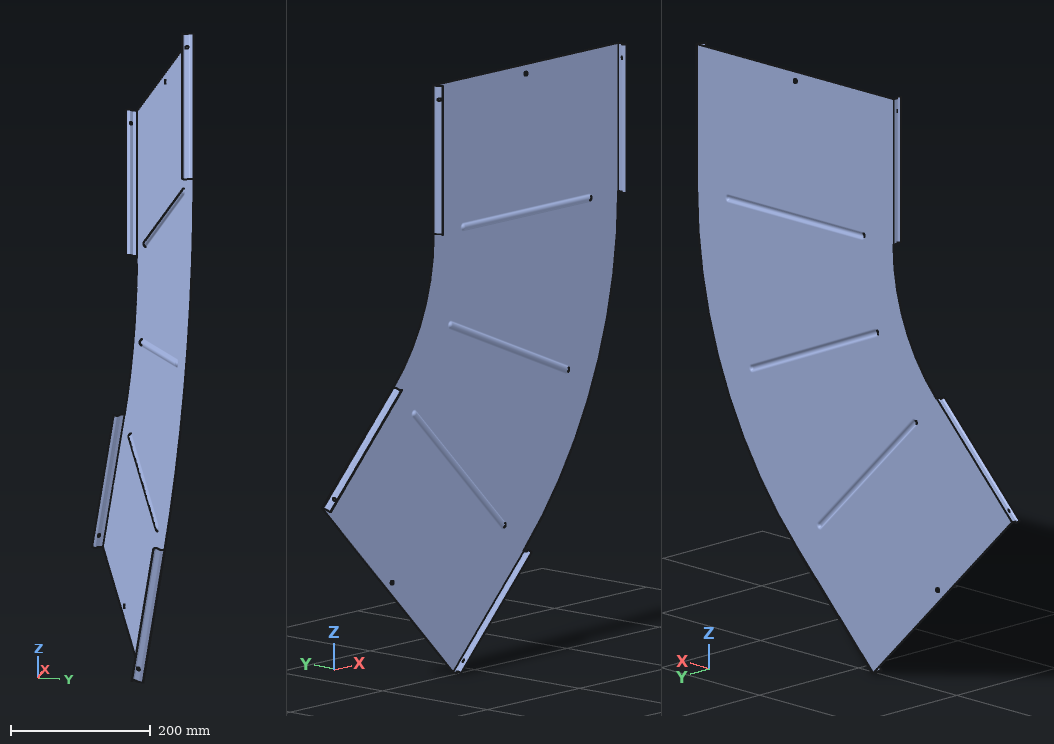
import cadquery as cq
import math

sheet = 1.2
bend_angle = 45.0
inner_radius = 300.0
outer_radius = 700.0
mid_radius = (inner_radius + outer_radius) / 2
arm_length = 217.0

flange_height = 17.4
flange_wall = 7.3
flange_fold = 5.5
flange_inner = inner_radius - sheet
flange_outer = outer_radius + sheet
fold_radius = 0.8
flange_hole_diameter = 4.0
flange_hole_end_distance = 20.0

end_hole_diameter = 6.0
end_hole_distance = 14.0

bead_length = 285.0
bead_width = 13.0
bead_depth = 3.5
bead_root_radius = 2.5
bead_slope = 2 * math.atan(2 * bead_depth / bead_width)
bead_angles = [0.0, bend_angle / 2, bend_angle]


def turn(body, angle):
    """Swing a body around the bend centre, from +X toward -Z."""
    return body.rotate((0, 0, 0), (0, 1, 0), angle)


def on_bend(radius, angle, along=0.0):
    """XZ position at a bend angle, shifted tangentially (positive toward the upper arm)."""
    a = math.radians(angle)
    x = radius * math.cos(a) + along * math.sin(a)
    z = -radius * math.sin(a) + along * math.cos(a)
    return x, z


def make_plate():
    half = bend_angle / 2
    outline = (
        cq.Workplane("XZ")
        .moveTo(inner_radius, arm_length)
        .lineTo(outer_radius, arm_length)
        .lineTo(outer_radius, 0)
        .threePointArc(on_bend(outer_radius, half), on_bend(outer_radius, bend_angle))
        .lineTo(*on_bend(outer_radius, bend_angle, -arm_length))
        .lineTo(*on_bend(inner_radius, bend_angle, -arm_length))
        .lineTo(*on_bend(inner_radius, bend_angle))
        .threePointArc(on_bend(inner_radius, half), (inner_radius, 0))
        .close()
    )
    return outline.extrude(sheet)


def round_fold(flange, corner, radius):
    """Round the lengthwise edge of a flange that runs through an XY corner."""
    edge_middle = (*corner, arm_length / 2)
    return flange.edges(cq.NearestToPointSelector(edge_middle)).fillet(radius)


def make_flange(edge, inward):
    """Flange along +Z from Z = 0; inward is +1 or -1, the X direction toward the sheet.

    An upright wall, then a 45 degree fold inward and a 45 degree fold back out.
    """
    diagonal = sheet * math.sqrt(2)
    tip_shift = sheet / math.sqrt(2)
    apex_depth = flange_wall + flange_fold
    tip_depth = flange_height - tip_shift
    tip_offset = flange_fold - (tip_depth - apex_depth)
    inner_wall = flange_wall - sheet * math.tan(math.pi / 8)
    section = [
        (0, 0),
        (0, flange_wall),
        (flange_fold, apex_depth),
        (tip_offset, tip_depth),
        (tip_offset + tip_shift, flange_height),
        (flange_fold + diagonal, apex_depth),
        (sheet, inner_wall),
        (sheet, 0),
    ]
    points = [(edge + inward * offset, -depth) for offset, depth in section]
    flange = cq.Workplane("XY").polyline(points).close().extrude(arm_length)
    bend_outer, apex_outer, apex_inner, bend_inner = points[1], points[2], points[5], points[6]
    flange = round_fold(flange, bend_outer, fold_radius + sheet)
    flange = round_fold(flange, bend_inner, fold_radius)
    flange = round_fold(flange, apex_outer, fold_radius)
    flange = round_fold(flange, apex_inner, fold_radius + sheet)
    hole_depth = flange_wall + flange_fold / 2
    hole_z = arm_length - flange_hole_end_distance
    drill = (
        cq.Workplane("YZ", origin=(edge - flange_height, 0, 0))
        .center(-hole_depth, hole_z)
        .circle(flange_hole_diameter / 2)
        .extrude(2 * flange_height)
    )
    return flange.cut(drill)


def bead_profile(workplane, face_y, crest_radius, root_radius):
    """Half section of a bead: a convex crest arc running tangent into a concave root arc.

    The section reaches half a sheet thickness beyond its base plane for a clean join.
    """
    half_width = bead_width / 2
    crest_y = face_y - bead_depth
    overlap_y = face_y + sheet / 2
    crest_mid = (
        crest_radius * math.sin(bead_slope / 2),
        crest_y + crest_radius * (1 - math.cos(bead_slope / 2)),
    )
    inflection = (
        crest_radius * math.sin(bead_slope),
        crest_y + crest_radius * (1 - math.cos(bead_slope)),
    )
    root_mid = (
        half_width - root_radius * math.sin(bead_slope / 2),
        face_y - root_radius * (1 - math.cos(bead_slope / 2)),
    )
    return (
        workplane.moveTo(0, overlap_y)
        .lineTo(0, crest_y)
        .threePointArc(crest_mid, inflection)
        .threePointArc(root_mid, (half_width, face_y))
        .lineTo(half_width, overlap_y)
        .close()
    )


def make_bead_body(face_y, crest_radius, root_radius):
    """Round-ended bead along X, swelling from the plane Y = face_y toward -Y."""
    half_span = (bead_length - bead_width) / 2
    section_plane = cq.Plane(origin=(0, 0, 0), xDir=(0, 0, 1), normal=(-1, 0, 0))
    half_section = bead_profile(cq.Workplane(section_plane), face_y, crest_radius, root_radius)
    side = half_section.extrude(half_span, both=True)
    body = side.union(side.mirror("XY"))
    cap_section = bead_profile(cq.Workplane("XY"), face_y, crest_radius, root_radius)
    cap = cap_section.revolve(360, (0, 0, 0), (0, 1, 0))
    for x in (-half_span, half_span):
        body = body.union(cap.translate((x, 0, 0)))
    return body.translate((mid_radius, 0, 0))


def add_bead(cover, angle):
    """Raise a hollow bead of constant sheet thickness."""
    crest_radius = bead_width / 2 / math.sin(bead_slope) - bead_root_radius
    raised = make_bead_body(-sheet, crest_radius, bead_root_radius)
    hollow = make_bead_body(0, crest_radius - sheet, bead_root_radius + sheet)
    return cover.union(turn(raised, angle)).cut(turn(hollow, angle))


def drill_end_holes(cover):
    along = arm_length - end_hole_distance
    centres = [on_bend(mid_radius, 0, along), on_bend(mid_radius, bend_angle, -along)]
    drills = cq.Workplane("XZ").pushPoints(centres).circle(end_hole_diameter / 2).extrude(sheet)
    return cover.cut(drills)


cover = make_plate()
for flange in (make_flange(flange_inner, 1), make_flange(flange_outer, -1)):
    cover = cover.union(flange)
    cover = cover.union(turn(flange.mirror("XY"), bend_angle))
for bead_angle in bead_angles:
    cover = add_bead(cover, bead_angle)
result = drill_end_holes(cover)